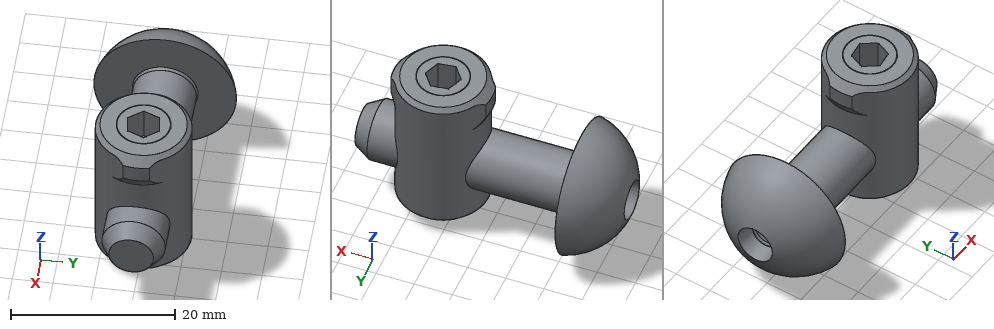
import cadquery as cq
import math

head_end_x = -24.65
head_face_x = -18.05
tip_x = head_end_x + 35.13
head_radius = 8.8
shank_radius = 3.9
root_length = 0.42
root_rise = 0.15
tip_length = 2.05
tip_radius = 2.75

recess_mouth_radius = 2.53
recess_floor_radius = 2.1
recess_depth = 2.45
bead_inner_radius = 1.6
floor_cone_depth = 0.95

barrel_radius = 5.9
barrel_top_z = 12.33
barrel_bottom_z = -7.65
top_radius = 5.3
bottom_chamfer_height = 1.05
bottom_chamfer_width = 0.95

lug_radius = 6.43
lug_outer_half_width = 1.65
lug_root_half_width = 3.02
lug_flank_sag = 0.07
lug_straight_drop = 3.3
lug_bottom_drop = 4.53

screw_radius = 3.25
screw_clearance = 0.07
socket_corner_radius = 2.25
socket_turn = 8.0
socket_depth = 4.2
socket_cone_depth = 1.3


def revolve_about_x(profile):
    """Revolve a closed XY profile a full turn about the X axis."""
    return profile.close().revolve(360, (0, 0, 0), (1, 0, 0))


def make_recess():
    floor_x = head_end_x + recess_depth
    bead_radius = (recess_floor_radius - bead_inner_radius) / 2
    bead_middle = bead_inner_radius + bead_radius
    return revolve_about_x(
        cq.Workplane("XY")
        .moveTo(head_end_x, 0)
        .lineTo(head_end_x, recess_mouth_radius)
        .lineTo(floor_x, recess_floor_radius)
        .threePointArc((floor_x - bead_radius, bead_middle), (floor_x, bead_inner_radius))
        .lineTo(floor_x + floor_cone_depth, 0)
    )


def make_bolt():
    dome_centre_x = (
        (head_face_x**2 + head_radius**2 - head_end_x**2 - recess_mouth_radius**2)
        / (2 * (head_face_x - head_end_x))
    )
    dome_radius = math.hypot(head_face_x - dome_centre_x, head_radius)
    dome_mid_radius = (recess_mouth_radius + head_radius) / 2
    dome_mid_x = dome_centre_x - math.sqrt(dome_radius**2 - dome_mid_radius**2)
    body = revolve_about_x(
        cq.Workplane("XY")
        .moveTo(head_end_x, 0)
        .lineTo(head_end_x, recess_mouth_radius)
        .threePointArc((dome_mid_x, dome_mid_radius), (head_face_x, head_radius))
        .lineTo(head_face_x, shank_radius + root_rise)
        .lineTo(head_face_x + root_length, shank_radius)
        .lineTo(tip_x - tip_length, shank_radius)
        .lineTo(tip_x, tip_radius)
        .lineTo(tip_x, 0)
    )
    return body.cut(make_recess())


def revolve_about_z(profile):
    """Revolve a closed XZ profile a full turn about the Z axis."""
    return profile.close().revolve(360, (0, 0, 0), (0, 1, 0))


def make_lug(side):
    """Lug with concave flanks and a tapered underside, on the +X (1) or -X (-1) side."""
    root_x = side * math.sqrt(barrel_radius**2 - lug_root_half_width**2)
    outer_x = side * math.sqrt(lug_radius**2 - lug_outer_half_width**2)
    root_y = side * lug_root_half_width
    outer_y = side * lug_outer_half_width
    bottom_z = barrel_top_z - lug_bottom_drop
    prism = (
        cq.Workplane("XY")
        .workplane(offset=bottom_z)
        .moveTo(root_x, -root_y)
        .sagittaArc((outer_x, -outer_y), lug_flank_sag)
        .threePointArc((side * lug_radius, 0), (outer_x, outer_y))
        .sagittaArc((root_x, root_y), lug_flank_sag)
        .close()
        .extrude(lug_bottom_drop)
    )
    taper = revolve_about_z(
        cq.Workplane("XZ")
        .moveTo(0, bottom_z)
        .lineTo(barrel_radius, bottom_z)
        .lineTo(lug_radius, barrel_top_z - lug_straight_drop)
        .lineTo(lug_radius, barrel_top_z)
        .lineTo(0, barrel_top_z)
    )
    return prism.intersect(taper)


def make_bevel_envelope():
    """Turned shape, wider than the barrel, whose sloping ends bevel the barrel and its lugs."""
    reach = lug_radius
    bottom_inner_radius = barrel_radius - bottom_chamfer_width
    bottom_rise = reach * bottom_chamfer_height / bottom_chamfer_width
    return revolve_about_z(
        cq.Workplane("XZ")
        .moveTo(0, barrel_bottom_z)
        .lineTo(bottom_inner_radius, barrel_bottom_z)
        .lineTo(bottom_inner_radius + reach, barrel_bottom_z + bottom_rise)
        .lineTo(top_radius + reach, barrel_top_z - reach)
        .lineTo(top_radius, barrel_top_z)
        .lineTo(0, barrel_top_z)
    )


def make_barrel():
    body = (
        cq.Workplane("XY")
        .workplane(offset=barrel_bottom_z)
        .circle(barrel_radius)
        .extrude(barrel_top_z - barrel_bottom_z)
    )
    for side in (1, -1):
        body = body.union(make_lug(side))
    bolt_hole = cq.Workplane("YZ").circle(shank_radius).extrude(2 * lug_radius, both=True)
    screw_hole = cq.Workplane("XY").circle(screw_radius + screw_clearance).extrude(barrel_top_z)
    return body.intersect(make_bevel_envelope()).cut(bolt_hole).cut(screw_hole)


def make_screw():
    """Set screw from the top of the shank to the top of the barrel."""
    body = (
        cq.Workplane("XY")
        .workplane(offset=shank_radius)
        .circle(screw_radius)
        .extrude(barrel_top_z - shank_radius)
    )
    socket_floor_z = barrel_top_z - socket_depth
    socket = (
        cq.Workplane("XY")
        .workplane(offset=socket_floor_z)
        .polygon(6, 2 * socket_corner_radius)
        .extrude(socket_depth)
        .rotate((0, 0, 0), (0, 0, 1), socket_turn)
    )
    drill_point = cq.Workplane(
        cq.Solid.makeCone(
            socket_corner_radius, 0, socket_cone_depth, cq.Vector(0, 0, socket_floor_z), cq.Vector(0, 0, -1)
        )
    )
    socket_bore = socket.translate((0, 0, -socket_cone_depth))
    return body.cut(socket).cut(drill_point.intersect(socket_bore))


bolt = make_bolt()
barrel = make_barrel()
screw = make_screw()

result = cq.Compound.makeCompound([bolt.solids().val(), barrel.solids().val(), screw.solids().val()])